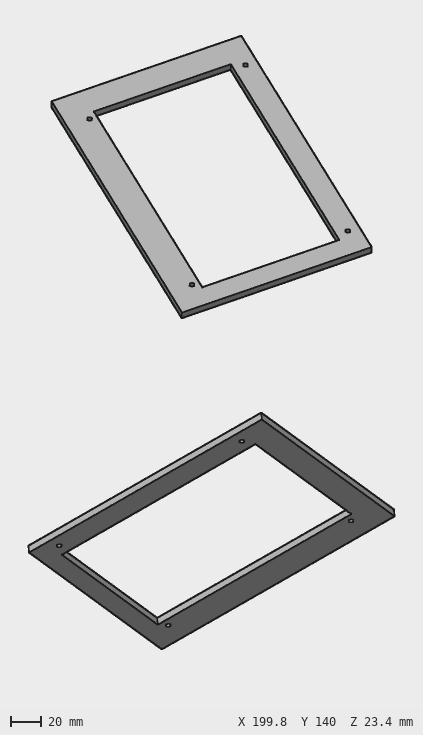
import cadquery as cq

LENGTH = 200.0
WIDTH = 140.0
THICKNESS = 6.0
TILT_ANGLE = 5.0

BORDER_LEFT = 19.4
BORDER_RIGHT = 14.4
BORDER_FRONT = 21.9
BORDER_BACK = 17.1

WINDOW_LENGTH = LENGTH - BORDER_LEFT - BORDER_RIGHT
WINDOW_WIDTH = WIDTH - BORDER_FRONT - BORDER_BACK

HOLE_DIAMETER = 3.2
HOLE_SPACING_X = 156.9
HOLE_SPACING_Y = 115.0
FRONT_EDGE_TO_HOLE = 16.5

HOLE_PATTERN_X = BORDER_LEFT + WINDOW_LENGTH / 2
HOLE_PATTERN_Y = FRONT_EDGE_TO_HOLE + HOLE_SPACING_Y / 2


def make_plate():
    """Flat plate with its lower front left corner at the origin."""
    return cq.Workplane("XY").box(LENGTH, WIDTH, THICKNESS, centered=False)


def cut_window(plate):
    """Open the rectangular window through the full thickness."""
    window = cq.Workplane("XY").box(WINDOW_LENGTH, WINDOW_WIDTH, THICKNESS, centered=False)
    return plate.cut(window.translate((BORDER_LEFT, BORDER_FRONT, 0)))


def drill_mounting_holes(plate):
    """Drill the four mounting holes square to the plate."""
    holes = (
        cq.Workplane("XY")
        .center(HOLE_PATTERN_X, HOLE_PATTERN_Y)
        .rarray(HOLE_SPACING_X, HOLE_SPACING_Y, 2, 2)
        .circle(HOLE_DIAMETER / 2)
        .extrude(THICKNESS)
    )
    return plate.cut(holes)


flat_frame = drill_mounting_holes(cut_window(make_plate()))
result = flat_frame.rotate((0, 0, 0), (0, 1, 0), TILT_ANGLE)